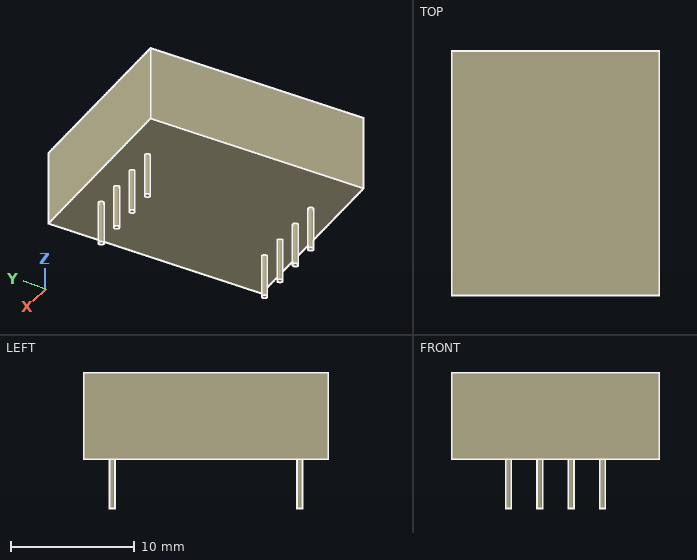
import cadquery as cq

case_width = 16.9
case_length = 19.9
overall_height = 11.05
pin_length = 4.0
case_height = overall_height - pin_length

pin_diameter = 0.48
pins_per_row = 4
pin_pitch = 2.55
row_count = 2
row_spacing = 15.25


def make_case():
    """Plain block with its underside on Z = 0."""
    return cq.Workplane("XY").box(case_width, case_length, case_height, centered=(True, True, False))


def make_pins():
    """Grid of pins hanging down from the underside of the case."""
    return (
        cq.Workplane("XY")
        .rarray(pin_pitch, row_spacing, pins_per_row, row_count)
        .circle(pin_diameter / 2)
        .extrude(-pin_length)
    )


result = make_case().union(make_pins())